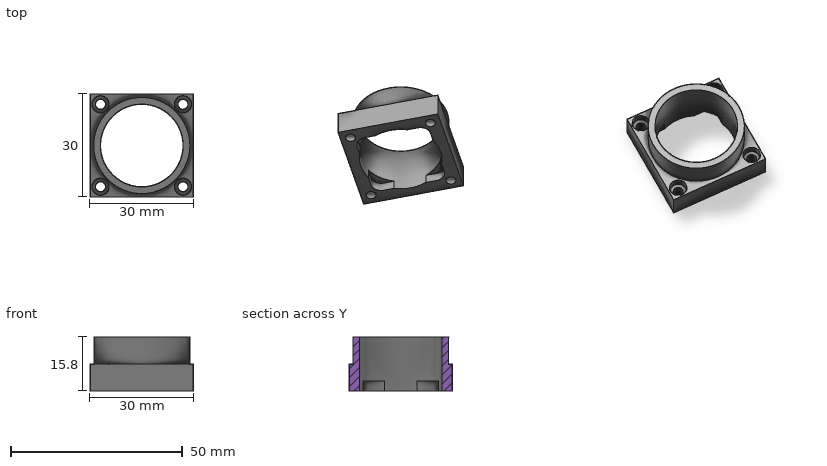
import cadquery as cq

base_side = 30.0
base_height = 7.885

total_height = 15.76
collar_diameter = 28.0

sleeve_diameter = 25.4
bore_diameter = 24.0

screw_spacing = 24.0
screw_diameter = 2.9
head_diameter = 5.0
head_depth = 2.5

recess_side = 22.0
recess_corner_radius = 3.0
recess_depth = 3.0


def make_cylinder(diameter, height):
    """Upright cylinder on the central axis, standing on the XY plane."""
    return cq.Workplane("XY").circle(diameter / 2).extrude(height)


def make_housing():
    """Square base and round collar, opened up to receive the sleeve."""
    base = cq.Workplane("XY").rect(base_side, base_side).extrude(base_height)
    collar = make_cylinder(collar_diameter, total_height)
    return base.union(collar).cut(make_cylinder(sleeve_diameter, total_height))


def make_sleeve():
    """Plain sleeve whose inside is the through bore."""
    outside = make_cylinder(sleeve_diameter, total_height)
    return outside.cut(make_cylinder(bore_diameter, total_height))


def make_recess():
    """Rounded square recess whose corners reach outside the bore."""
    block = cq.Workplane("XY").rect(recess_side, recess_side).extrude(recess_depth)
    return block.edges("|Z").fillet(recess_corner_radius)


def cut_screw_holes(body):
    """Cut the four counterbored through holes from the top of the base."""
    return (
        body.copyWorkplane(cq.Workplane("XY", origin=(0, 0, base_height)))
        .rect(screw_spacing, screw_spacing, forConstruction=True)
        .vertices()
        .cboreHole(screw_diameter, head_diameter, head_depth, clean=False)
    )


housing = cut_screw_holes(make_housing())

lined_housing = housing.union(make_sleeve(), clean=False)
result = lined_housing.cut(make_recess(), clean=False)